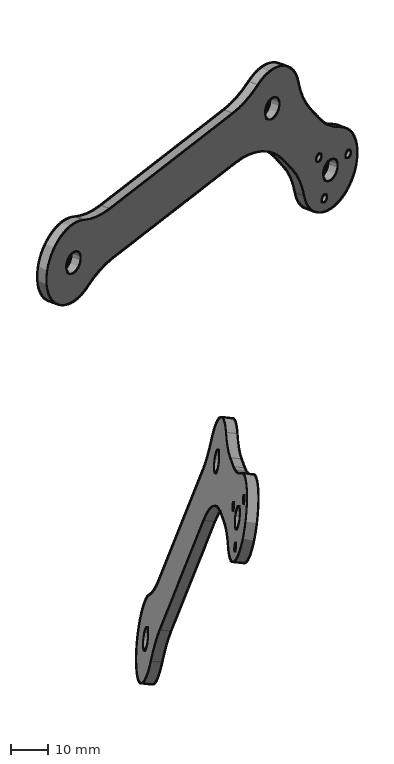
import cadquery as cq
import math

thickness = 3.2
pad_radius = 12.0
arm_width = 16.0
blend_radius = 25.0
pivot_diameter = 6.4
screw_diameter = 2.4
screw_circle_radius = 8.0
screw_count = 3

elbow = (0.0, 0.0)
short_end = (26.0, -30.8)
long_end = (-88.6, -7.8)
pads = (elbow, short_end, long_end)

half_width = arm_width / 2
meeting_distance = math.sqrt(pad_radius**2 - half_width**2)


def direction_angle(start, end):
    return math.atan2(end[1] - start[1], end[0] - start[0])


def local_point(origin, angle, along, across):
    """Point measured along and to the left of a direction from an origin."""
    y = origin[0] + along * math.cos(angle) - across * math.sin(angle)
    z = origin[1] + along * math.sin(angle) + across * math.cos(angle)
    return (y, z)


def make_arm(end):
    angle = direction_angle(elbow, end)
    length = math.dist(elbow, end)
    corners = [
        local_point(elbow, angle, 0, half_width),
        local_point(elbow, angle, length, half_width),
        local_point(elbow, angle, length, -half_width),
        local_point(elbow, angle, 0, -half_width),
    ]
    return cq.Workplane("YZ").polyline(corners).close().extrude(thickness)


def blend_corner(body, point):
    """Round the through-thickness edge closest to a (Y, Z) point."""
    target = (thickness / 2, *point)
    edge = body.edges("|X").edges(cq.selectors.NearestToPointSelector(target))
    return edge.fillet(blend_radius)


def drill(body, centres, diameter):
    holes = cq.Workplane("YZ").pushPoints(centres).circle(diameter / 2).extrude(thickness)
    return body.cut(holes)


short_angle = direction_angle(elbow, short_end)
long_angle = direction_angle(elbow, long_end)

inner_angle = (short_angle + long_angle) / 2
half_opening = abs(short_angle - inner_angle)
inner_corner = local_point(elbow, inner_angle, half_width / math.sin(half_opening), 0)
body = make_arm(short_end).union(make_arm(long_end))
body = blend_corner(body, inner_corner)

body = body.union(cq.Workplane("YZ").pushPoints(pads).circle(pad_radius).extrude(thickness))

blend_points = [
    local_point(elbow, short_angle, meeting_distance, half_width),
    local_point(elbow, long_angle, meeting_distance, -half_width),
]
for end in (short_end, long_end):
    inward_angle = direction_angle(end, elbow)
    for side in (half_width, -half_width):
        blend_points.append(local_point(end, inward_angle, meeting_distance, side))
for point in blend_points:
    body = blend_corner(body, point)

body = drill(body, pads, pivot_diameter)
first_screw_angle = direction_angle(short_end, elbow)
screw_centres = [
    local_point(short_end, first_screw_angle + 2 * math.pi * i / screw_count, screw_circle_radius, 0)
    for i in range(screw_count)
]
result = drill(body, screw_centres, screw_diameter)